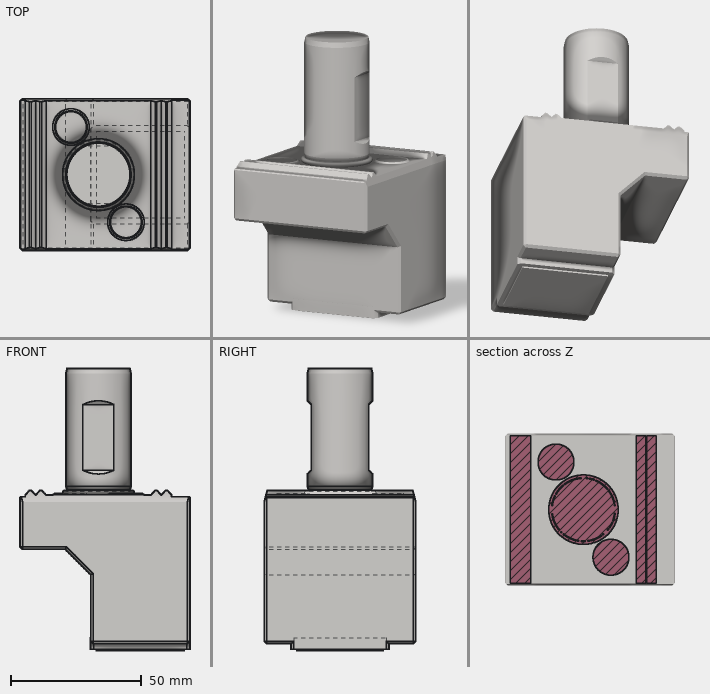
import cadquery as cq
import math


block_left = -30.0
block_right = 35.0
block_width = 58.0
block_bottom = -56.8
arm_bottom = -20.8
stem_left = -3.0
ramp_run = 9.7
edge_chamfer = 1.0
top_edge_chamfer = 0.4

taper_angle = 15.0
taper_bottom = -2.6

tooth_pitch = 4.0
tooth_height = 1.8
tooth_tip_width = 0.7
teeth_per_row = 2
left_row_start = -28.0
right_row_start = 20.0
shoulder_drop = 0.6

shank_diameter = 25.0
shank_end_diameter = 24.1
shank_top = 48.4
top_taper_length = 2.0
bottom_taper_length = 1.3
neck_height = 2.0
shank_root = -1.0
flat_spacing = 22.0
flat_bottom = 9.5
flat_length = 25.0

ring_tube_diameter = 2.0
ring_outer_diameter = 27.5
ring_top = 1.8

button_circle_radius = 21.0
button_angles = (120.0, 300.0)
button_base_diameter = 14.0
button_top_diameter = 12.4
button_height = 0.6
button_recess_diameter = 11.8
button_recess_depth = 0.5

pad_width = 37.6
pad_corner_chamfer = 1.2
pad_top = block_bottom + 2.2
pad_bottom = -59.0
pad_projection = 0.05
plate_bottom = -59.6
plate_inset = 2.3


def chamfered_body():
    """Arm, ramp and stem up to the tooth tips, with chamfers along all but the top edges."""
    ramp_bottom = arm_bottom - ramp_run
    body = (
        cq.Workplane("XZ")
        .moveTo(stem_left, block_bottom)
        .lineTo(stem_left, ramp_bottom)
        .lineTo(stem_left - ramp_run, arm_bottom)
        .lineTo(block_left, arm_bottom)
        .lineTo(block_left, tooth_height)
        .lineTo(block_right, tooth_height)
        .lineTo(block_right, block_bottom)
        .close()
        .extrude(block_width / 2, both=True)
    )
    top_edges = body.faces(">Z").edges().vals()
    tolerance = 0.01
    ramp_ends = [(stem_left, ramp_bottom), (stem_left - ramp_run, arm_bottom)]

    def is_chamfered(edge):
        center = edge.Center()
        along_ramp_end = any(math.dist((center.x, center.z), end) < tolerance for end in ramp_ends)
        on_top = any(edge.isSame(top_edge) for top_edge in top_edges)
        return not along_ramp_end and not on_top

    return body.edges().filter(is_chamfered).chamfer(edge_chamfer)


def tooth_row(start):
    """Outline points of one row of teeth, from left to right."""
    tip_inset = (tooth_pitch - tooth_tip_width) / 2
    points = [(start, 0)]
    for i in range(teeth_per_row):
        left = start + i * tooth_pitch
        right = left + tooth_pitch
        points += [
            (left + tip_inset, tooth_height),
            (right - tip_inset, tooth_height),
            (right, 0),
        ]
    return points


def toothed_envelope():
    """Prism along Y whose upper side carries the shoulders, teeth and seating face."""
    left_row = tooth_row(left_row_start)
    right_row = tooth_row(right_row_start)
    chamfer_bottom = -shoulder_drop - top_edge_chamfer
    outline = [
        (block_left, block_bottom),
        (block_left, chamfer_bottom),
        (block_left + top_edge_chamfer, -shoulder_drop),
        (left_row[0][0], -shoulder_drop),
        *left_row,
        *right_row,
        (right_row[-1][0], -shoulder_drop),
        (block_right - top_edge_chamfer, -shoulder_drop),
        (block_right, chamfer_bottom),
        (block_right, block_bottom),
    ]
    return cq.Workplane("XZ").polyline(outline).close().extrude(block_width / 2, both=True)


def tapered_envelope():
    """Prism along X whose front and back sides lean inward near the top."""
    half_width = block_width / 2
    top_half_width = half_width - (tooth_height - taper_bottom) * math.tan(math.radians(taper_angle))
    outline = [
        (-half_width, block_bottom),
        (-half_width, taper_bottom),
        (-top_half_width, tooth_height),
        (top_half_width, tooth_height),
        (half_width, taper_bottom),
        (half_width, block_bottom),
    ]
    return (
        cq.Workplane("YZ", origin=(block_left, 0, 0))
        .polyline(outline)
        .close()
        .extrude(block_right - block_left)
    )


def make_shank():
    """Round shank with tapered ends, a neck at the foot and two clamping flats."""
    radius = shank_diameter / 2
    end_radius = shank_end_diameter / 2
    shank = (
        cq.Workplane("XZ")
        .moveTo(0, shank_root)
        .lineTo(end_radius, shank_root)
        .lineTo(end_radius, neck_height)
        .lineTo(radius, neck_height + bottom_taper_length)
        .lineTo(radius, shank_top - top_taper_length)
        .lineTo(end_radius, shank_top)
        .lineTo(0, shank_top)
        .close()
        .revolve(360, (0, 0), (0, 1))
    )
    flat_depth = (shank_diameter - flat_spacing) / 2
    flat_top = flat_bottom + flat_length
    for side in (-1, 1):
        flat_cut = (
            cq.Workplane("YZ")
            .moveTo(side * flat_spacing / 2, flat_bottom)
            .lineTo(side * flat_spacing / 2, flat_top)
            .lineTo(side * radius, flat_top + flat_depth)
            .lineTo(side * radius, flat_bottom - flat_depth)
            .close()
            .extrude(radius, both=True)
        )
        shank = shank.cut(flat_cut)
    return shank


def make_seal_ring():
    """Torus resting in the seating face around the shank neck."""
    tube_radius = ring_tube_diameter / 2
    center_radius = ring_outer_diameter / 2 - tube_radius
    return (
        cq.Workplane("XZ")
        .moveTo(center_radius, ring_top - tube_radius)
        .circle(tube_radius)
        .revolve(360, (0, 0), (0, 1))
    )


def make_button(angle):
    """Low truncated cone with a shallow round recess in its top."""
    x = button_circle_radius * math.cos(math.radians(angle))
    y = button_circle_radius * math.sin(math.radians(angle))
    recess_floor = button_height - button_recess_depth
    return (
        cq.Workplane("XZ", origin=(x, y, 0))
        .moveTo(0, 0)
        .lineTo(button_base_diameter / 2, 0)
        .lineTo(button_top_diameter / 2, button_height)
        .lineTo(button_recess_diameter / 2, button_height)
        .lineTo(button_recess_diameter / 2, recess_floor)
        .lineTo(0, recess_floor)
        .close()
        .revolve(360, (0, 0), (0, 1))
    )


def make_foot_pad():
    """Pad with chamfered corners and the thin plate below it."""
    pad_left = stem_left - pad_projection
    pad_length = block_right - pad_left
    middle_x = (pad_left + block_right) / 2
    pad = (
        cq.Workplane("XY", origin=(middle_x, 0, pad_bottom))
        .rect(pad_length, pad_width)
        .extrude(pad_top - pad_bottom)
        .edges("|Z")
        .chamfer(pad_corner_chamfer)
    )
    plate = (
        cq.Workplane("XY", origin=(middle_x, 0, plate_bottom))
        .rect(pad_length - 2 * plate_inset, pad_width - 2 * plate_inset)
        .extrude(pad_bottom - plate_bottom)
    )
    return pad.union(plate)


result = chamfered_body().intersect(toothed_envelope()).intersect(tapered_envelope())
result = result.union(make_shank()).union(make_seal_ring())
for button_angle in button_angles:
    result = result.union(make_button(button_angle))
result = result.union(make_foot_pad())